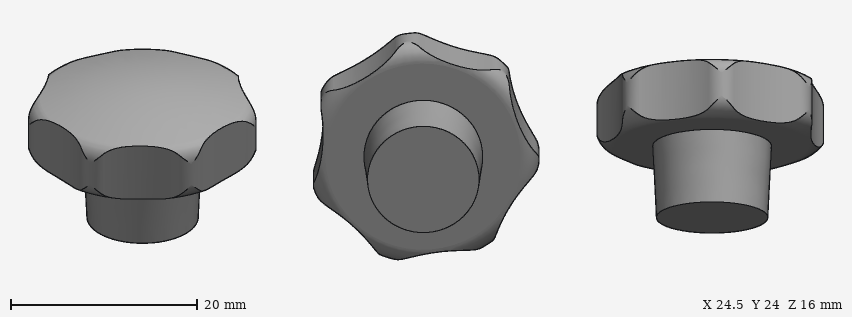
import cadquery as cq
import math

lobe_count = 7
overall_width = 24.47
lobe_nose_radius = 2.0
flute_radius = 15.9
total_height = 16.0
hub_height = 8.0
hub_bottom_radius = 6.0
hub_top_radius = 6.39
edge_round = 2.0
dome_rim_radius = 11.04
dome_rim_height = 14.49

half_pitch = math.pi / lobe_count
lobe_centre = (overall_width / 2 - lobe_nose_radius) / math.cos(half_pitch / 2)
lobe_tip_radius = lobe_centre + lobe_nose_radius
flute_centre = lobe_centre * math.cos(half_pitch) + math.sqrt(
    (flute_radius + lobe_nose_radius) ** 2 - (lobe_centre * math.sin(half_pitch)) ** 2
)
valley_radius = flute_centre - flute_radius


def polar(radius, angle):
    return (radius * math.cos(angle), radius * math.sin(angle))


def tangent_point(lobe_angle, flute_angle):
    """Point where a lobe circle meets a flute circle."""
    lobe = polar(lobe_centre, lobe_angle)
    flute = polar(flute_centre, flute_angle)
    share = lobe_nose_radius / (lobe_nose_radius + flute_radius)
    return tuple(a + share * (b - a) for a, b in zip(lobe, flute))


def make_lobed_prism():
    """Lobed outline with one lobe on +Y, extruded over the full height of the head."""
    first_lobe = math.pi / 2
    outline = cq.Workplane("XY").workplane(offset=hub_height)
    outline = outline.moveTo(*tangent_point(first_lobe, first_lobe - half_pitch))
    for index in range(lobe_count):
        lobe_angle = first_lobe + 2 * half_pitch * index
        flute_angle = lobe_angle + half_pitch
        next_lobe = flute_angle + half_pitch
        outline = outline.threePointArc(
            polar(lobe_tip_radius, lobe_angle), tangent_point(lobe_angle, flute_angle)
        )
        outline = outline.threePointArc(
            polar(valley_radius, flute_angle), tangent_point(next_lobe, flute_angle)
        )
    return outline.close().extrude(total_height - hub_height)


def make_domed_disc():
    """Turned blank of the head: flat underside, rounded edges and a spherical dome."""
    round_centre = lobe_tip_radius - edge_round
    rim_offset = dome_rim_radius - round_centre
    upper_centre = dome_rim_height - math.sqrt(edge_round**2 - rim_offset**2)
    lower_centre = hub_height + edge_round
    diagonal = edge_round * math.sqrt(0.5)
    upper_mid = math.acos(rim_offset / edge_round) / 2

    dome_rise = total_height - dome_rim_height
    dome_radius = (dome_rim_radius**2 + dome_rise**2) / (2 * dome_rise)
    dome_mid = math.asin(dome_rim_radius / dome_radius) / 2
    dome_centre = total_height - dome_radius

    return (
        cq.Workplane("XZ")
        .moveTo(0, hub_height)
        .lineTo(round_centre, hub_height)
        .threePointArc(
            (round_centre + diagonal, lower_centre - diagonal), (lobe_tip_radius, lower_centre)
        )
        .lineTo(lobe_tip_radius, upper_centre)
        .threePointArc(
            (
                round_centre + edge_round * math.cos(upper_mid),
                upper_centre + edge_round * math.sin(upper_mid),
            ),
            (dome_rim_radius, dome_rim_height),
        )
        .threePointArc(
            (dome_radius * math.sin(dome_mid), dome_centre + dome_radius * math.cos(dome_mid)),
            (0, total_height),
        )
        .close()
        .revolve(360, (0, 0, 0), (0, 1, 0))
    )


def make_hub():
    """Solid hub, slightly narrower at its foot."""
    return (
        cq.Workplane("XZ")
        .polyline([(0, 0), (hub_bottom_radius, 0), (hub_top_radius, hub_height), (0, hub_height)])
        .close()
        .revolve(360, (0, 0, 0), (0, 1, 0))
    )


head = make_domed_disc().intersect(make_lobed_prism())
result = head.union(make_hub())